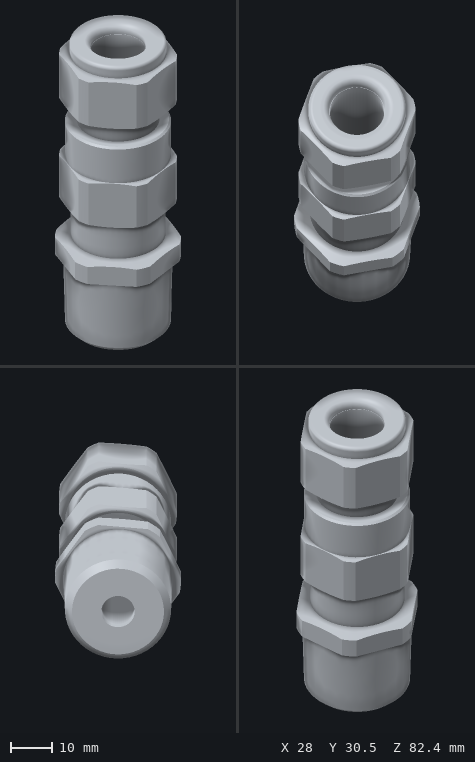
import cadquery as cq
import math

thread_chamfer_height = 1.7
flange_bottom = 20.5
shank_base = 26.7
body_bottom = 36.3
socket_top = 45.3
nose_height = 1.65
seat_top = 48.6
body_hex_top = 49.4
collar_top = 59.65
nut_bottom = 65.0
nut_hex_top = 79.1
neck_top = 79.8
overall_height = 82.4

flange_flats = 28.0
flange_corners = 30.5
wrench_flats = 26.0
wrench_corners = 28.5
hex_chamfer_slope = 0.33
hex_end_radius = 12.2

thread_end_radius = 11.1
thread_small_radius = 12.85
thread_large_radius = 13.35
shank_radius = 11.5
nose_base_radius = 5.4
nose_tip_radius = 4.95
nose_inner_radius = 4.8
nose_bore_radius = 4.3
entry_bore_radius = 4.0
lead_in_height = 1.2

collar_radius = 12.85
collar_chamfer = 0.5
neck_radius = 10.05
body_bore_radius = 6.6
seat_radius = 6.2

cap_radius = 11.8
cap_fillet = 1.1
mouth_radius = 6.7
mouth_round = 2.15


def revolve(profile):
    """Turn a closed radius-height profile on the XZ plane about the Z axis."""
    return profile.close().revolve(360, (0, 0, 0), (0, 1, 0))


def turned(points):
    """Solid of revolution with straight sides."""
    return revolve(cq.Workplane("XZ").polyline(points))


def cylinder(radius, bottom, top):
    return cq.Workplane("XY").workplane(offset=bottom).circle(radius).extrude(top - bottom)


def hexagon(flats, corners, bottom, top, top_radius, bottom_radius=None):
    """Hex with flats facing X, coned from the given end-face radii; the bottom may stay plain."""
    corner_radius = corners / 2
    sharp_diameter = flats / math.cos(math.pi / 6)
    prism = (
        cq.Workplane("XY")
        .workplane(offset=bottom)
        .transformed(rotate=(0, 0, 90))
        .polygon(6, sharp_diameter)
        .extrude(top - bottom)
    )
    envelope = [(0, top), (top_radius, top)]
    envelope.append((corner_radius, top - hex_chamfer_slope * (corner_radius - top_radius)))
    if bottom_radius is None:
        envelope.append((corner_radius, bottom))
    else:
        envelope.append((corner_radius, bottom + hex_chamfer_slope * (corner_radius - bottom_radius)))
        envelope.append((bottom_radius, bottom))
    envelope.append((0, bottom))
    return prism.intersect(turned(envelope))


def make_entry_fitting():
    """Tapered thread, hex flange and a shank whose conical nose seats in the body."""
    thread = turned([
        (0, 0),
        (thread_end_radius, 0),
        (thread_small_radius, thread_chamfer_height),
        (thread_large_radius, flange_bottom),
        (0, flange_bottom),
    ])
    flange = hexagon(flange_flats, flange_corners, flange_bottom, shank_base, shank_radius)
    shank = cylinder(shank_radius, shank_base, socket_top)
    nose_tip = socket_top + nose_height
    nose = turned([
        (0, socket_top),
        (nose_base_radius, socket_top),
        (nose_tip_radius, nose_tip),
        (0, nose_tip),
    ])
    lead_in_bottom = nose_tip - lead_in_height
    bore = turned([
        (0, 0),
        (entry_bore_radius, 0),
        (entry_bore_radius, lead_in_bottom),
        (nose_bore_radius, lead_in_bottom),
        (nose_inner_radius, nose_tip),
        (0, nose_tip),
    ])
    return thread.union(flange).union(shank).union(nose).cut(bore)


def make_gland_body():
    """Hexagon, round collar and neck, bored through with a socket for the shank."""
    wrench_hex = hexagon(
        wrench_flats, wrench_corners, body_bottom, body_hex_top, collar_radius, hex_end_radius
    )
    collar = cylinder(collar_radius, body_hex_top, collar_top).faces(">Z").edges().chamfer(collar_chamfer)
    neck = cylinder(neck_radius, collar_top, neck_top)
    bore = turned([
        (0, body_bottom),
        (shank_radius, body_bottom),
        (shank_radius, socket_top),
        (nose_base_radius, socket_top),
        (seat_radius, seat_top),
        (body_bore_radius, seat_top),
        (body_bore_radius, neck_top),
        (0, neck_top),
    ])
    return wrench_hex.union(collar).union(neck).cut(bore)


def make_seal_nut():
    """Hex nut with a round cap, recessed over the neck, with a rounded cable mouth."""
    wrench_hex = hexagon(
        wrench_flats, wrench_corners, nut_bottom, nut_hex_top, cap_radius, hex_end_radius
    )
    cap = cylinder(cap_radius, nut_hex_top, overall_height).faces(">Z").edges().fillet(cap_fillet)
    recess = cylinder(neck_radius, nut_bottom, neck_top)
    arc_start = overall_height - mouth_round
    arc_offset = mouth_round * math.sqrt(0.5)
    arc_middle = (mouth_radius + mouth_round - arc_offset, arc_start + arc_offset)
    mouth = revolve(
        cq.Workplane("XZ")
        .moveTo(0, neck_top)
        .lineTo(mouth_radius, neck_top)
        .lineTo(mouth_radius, arc_start)
        .threePointArc(arc_middle, (mouth_radius + mouth_round, overall_height))
        .lineTo(0, overall_height)
    )
    return wrench_hex.union(cap).cut(recess).cut(mouth)


entry_fitting = make_entry_fitting()
gland_body = make_gland_body()
seal_nut = make_seal_nut()

result = cq.Compound.makeCompound([
    entry_fitting.solids().val(),
    gland_body.solids().val(),
    seal_nut.solids().val(),
])